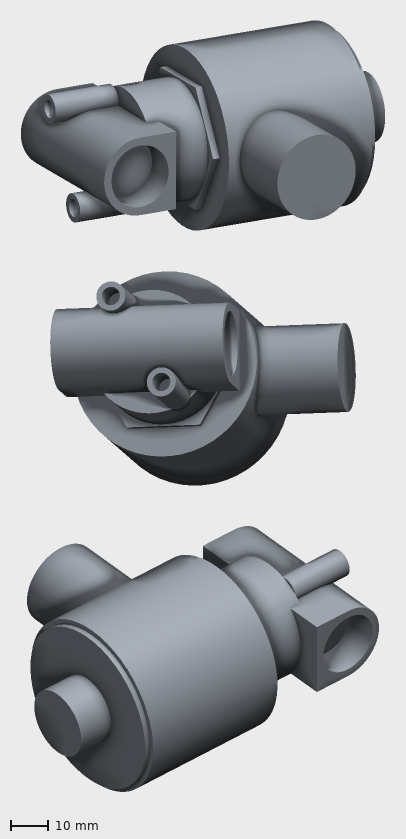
import cadquery as cq
import math

total_length = 94.1
housing_diameter = 50.8
housing_front = 37.8
housing_back = 81.9
cap_diameter = 47.8
cap_back = 83.5
stub_diameter = 19.6

port_diameter = 24.0
port_center_y = 53.1
port_reach = 47.0

hex_across_flats = 34.8
hex_front = 35.9
neck_diameter = 33.9
neck_front = 19.2

block_length = 47.5
block_width = 22.0
block_front = 0.5
bore_diameter = 17.5
bore_depth = 9.4

nozzle_diameter = 8.0
nozzle_hole_diameter = 5.0
nozzle_hole_depth = 9.4
nozzle_x = 7.0
nozzle_z = 12.05


def cylinder_y(diameter, front, back, x=0.0, z=0.0):
    """Cylinder along Y between two Y positions."""
    return cq.Workplane(cq.Solid.makeCylinder(
        diameter / 2, back - front, cq.Vector(x, front, z), cq.Vector(0, 1, 0)))


def cylinder_x(diameter, left, right, y):
    """Cylinder along X between two X positions."""
    return cq.Workplane(cq.Solid.makeCylinder(
        diameter / 2, right - left, cq.Vector(left, y, 0), cq.Vector(1, 0, 0)))


def make_coil_housing():
    barrel = cylinder_y(housing_diameter, housing_front, housing_back)
    cap = cylinder_y(cap_diameter, housing_back, cap_back)
    stub = cylinder_y(stub_diameter, cap_back, total_length)
    port = cylinder_x(port_diameter, 0, port_reach, port_center_y)
    return barrel.union(cap).union(stub).union(port)


def make_hex_flange():
    across_corners = hex_across_flats / math.cos(math.pi / 6)
    return (
        cq.Workplane("XZ", origin=(0, housing_front, 0))
        .polygon(6, across_corners)
        .extrude(housing_front - hex_front)
    )


def make_pipe_block():
    radius = block_width / 2
    round_center = block_front + radius
    block_back = block_front + block_width
    return (
        cq.Workplane("YZ", origin=(-block_length / 2, 0, 0))
        .moveTo(block_back, -radius)
        .lineTo(round_center, -radius)
        .threePointArc((block_front, 0), (round_center, radius))
        .lineTo(block_back, radius)
        .close()
        .extrude(block_length)
    )


def make_valve():
    neck = cylinder_y(neck_diameter, neck_front, hex_front)
    valve = make_hex_flange().union(neck).union(make_pipe_block())

    nozzle_places = [(-nozzle_x, nozzle_z), (nozzle_x, -nozzle_z)]
    for x, z in nozzle_places:
        valve = valve.union(cylinder_y(nozzle_diameter, 0, neck_front, x, z))
    for x, z in nozzle_places:
        valve = valve.cut(cylinder_y(nozzle_hole_diameter, 0, nozzle_hole_depth, x, z))

    bore_center = block_front + block_width / 2
    block_end = block_length / 2
    bore_floor = block_end - bore_depth
    for left, right in [(-block_end, -bore_floor), (bore_floor, block_end)]:
        valve = valve.cut(cylinder_x(bore_diameter, left, right, bore_center))
    return valve


coil_housing = make_coil_housing()
valve = make_valve()
result = cq.Compound.makeCompound([coil_housing.val(), valve.val()])